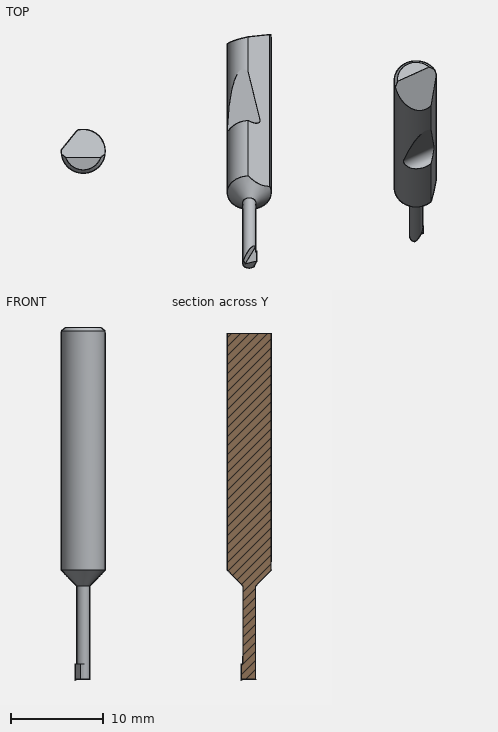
import cadquery as cq
import math

length = 38.1
shank_radius = 2.38
neck_radius = 0.72
end_face = 0.1
neck_top = 10.17
cone_top = 11.9
end_chamfer = 0.4

flat_distance = 1.95
flat_angle = 141.0
bevel_start = -0.65
notch_top = 29.8
notch_bottom = 21.15
notch_radius = 1.0
notch_floor = 1.1

tooth_reach = 0.88
tooth_top = 1.8
rake_height = 0.05
heel_x = -0.3
heel_y = -0.7
tooth_root = 0.08
pocket_top = 2.55
pocket_end = 0.45
nib_size = 0.15

margin = 0.75


def turned_bar():
    """Shank, cone and neck as one revolved body."""
    return (
        cq.Workplane("XZ")
        .moveTo(0, end_face)
        .lineTo(neck_radius, end_face)
        .lineTo(neck_radius, neck_top)
        .lineTo(shank_radius, cone_top)
        .lineTo(shank_radius, length - end_chamfer)
        .lineTo(shank_radius - end_chamfer, length)
        .lineTo(0, length)
        .close()
        .revolve(360, (0, 0, 0), (0, 1, 0))
    )


def side_flat():
    """Block whose inner face is the flat along the whole shank."""
    return (
        cq.Workplane("XY")
        .box(shank_radius, 4 * shank_radius, length, centered=(False, True, False))
        .translate((flat_distance, 0, 0))
        .rotate((0, 0, 0), (0, 0, 1), flat_angle)
    )


def end_bevel():
    """Wedge above the 45 degree plane at the shank end."""
    outer = shank_radius + margin
    return (
        cq.Workplane("YZ")
        .moveTo(bevel_start - margin, length + margin)
        .lineTo(outer, length - (outer - bevel_start))
        .lineTo(outer, length + margin)
        .close()
        .extrude(shank_radius + margin, both=True)
    )


def clamping_notch():
    """Sloping notch across the back of the shank, rounded at its lower end."""
    outer = shank_radius + margin
    arc_center_y = notch_floor + notch_radius
    arc_center_z = notch_bottom + notch_radius
    arc_offset = notch_radius * math.sqrt(0.5)
    return (
        cq.Workplane("YZ")
        .moveTo(outer, notch_bottom)
        .lineTo(arc_center_y, notch_bottom)
        .threePointArc(
            (arc_center_y - arc_offset, arc_center_z - arc_offset),
            (notch_floor, arc_center_z),
        )
        .lineTo(shank_radius, notch_top)
        .lineTo(outer, notch_top)
        .close()
        .extrude(shank_radius + margin, both=True)
    )


def tooth_space():
    """Quarter of the neck end that gives way to the tooth's own section."""
    size = neck_radius + margin
    return (
        cq.Workplane("XY", origin=(tooth_root, rake_height, 0))
        .workplane(offset=end_face)
        .rect(-size, -size, centered=False)
        .extrude(tooth_top - end_face)
    )


def tooth():
    """Relieved tooth that reaches past the neck on the -X side."""
    return (
        cq.Workplane("XY")
        .workplane(offset=end_face)
        .moveTo(-tooth_reach, rake_height)
        .lineTo(heel_x, heel_y)
        .lineTo(tooth_root, -math.sqrt(neck_radius**2 - tooth_root**2))
        .lineTo(tooth_root, rake_height)
        .close()
        .extrude(tooth_top - end_face)
    )


def chip_pocket():
    """Pocket behind the rake face, closed by a sloping wall."""
    slope = (pocket_end + neck_radius) / (pocket_top - end_face)
    outer = neck_radius + margin
    return (
        cq.Workplane("XZ", origin=(0, rake_height, 0))
        .moveTo(-outer, pocket_top + margin / slope)
        .lineTo(pocket_end + slope * end_face, 0)
        .lineTo(-outer, 0)
        .close()
        .extrude(-outer)
    )


def cutting_nib():
    """Small pyramid that carries the cutting point below the end face."""
    tip = cq.Vector(-tooth_reach, rake_height, 0)
    corner = cq.Vector(-tooth_reach, rake_height, end_face)
    inner = corner + cq.Vector(nib_size, 0, 0)
    relief = (cq.Vector(heel_x, heel_y, end_face) - corner).normalized()
    back = corner + relief * nib_size
    triangles = [
        (corner, inner, back),
        (tip, corner, inner),
        (tip, inner, back),
        (tip, back, corner),
    ]
    faces = [cq.Face.makeFromWires(cq.Wire.makePolygon(list(t), close=True)) for t in triangles]
    return cq.Workplane(cq.Solid.makeSolid(cq.Shell.makeShell(faces)))


shank = turned_bar().cut(side_flat()).cut(end_bevel()).cut(clamping_notch())
result = shank.cut(tooth_space()).union(tooth()).cut(chip_pocket()).union(cutting_nib())